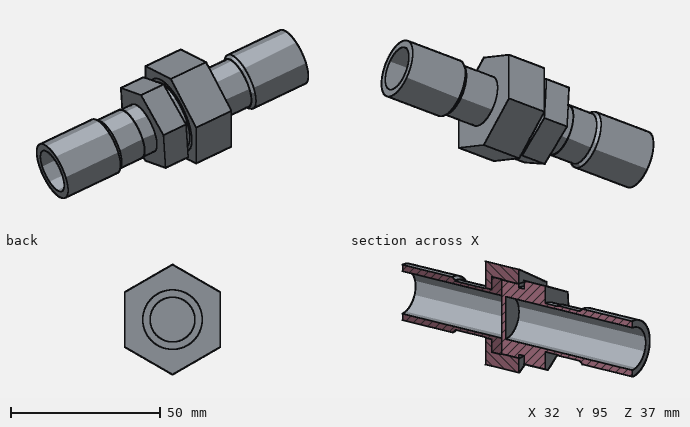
import cadquery as cq
import math

LENGTH = 95.0
FRONT_END = -LENGTH / 2
BACK_END = LENGTH / 2

SLEEVE_DIAMETER = 19.95
SLEEVE_LENGTH = 20.7
CHAMFER_LENGTH = 1.1
SHOULDER_DIAMETER = 18.0
ADAPTER_NECK_DIAMETER = 17.5
TAILPIECE_NECK_DIAMETER = 17.6
BORE_DIAMETER = 15.0

SHOULDER_END = -16.5
ADAPTER_HEX_START = -11.6
ADAPTER_HEX_LENGTH = 8.9
ADAPTER_HEX_FLATS = 27.1
ADAPTER_HEX_TURN = 5.0
COLLAR_DIAMETER = 24.0
WALL_THICKNESS = 1.9

NUT_START = -0.7
NUT_LENGTH = 14.0
NUT_FLATS = 32.0
NUT_LIP = 2.85
NUT_BORE_DIAMETER = 26.7

FLANGE_LENGTH = 3.8

ADAPTER_HEX_END = ADAPTER_HEX_START + ADAPTER_HEX_LENGTH
NUT_END = NUT_START + NUT_LENGTH
FLANGE_END = NUT_END - NUT_LIP
SPIGOT_END = FLANGE_END - FLANGE_LENGTH


def rod(diameter, start, end):
    """Round bar on the Y axis from start to end."""
    plane = cq.Plane(origin=(0, start, 0), xDir=(1, 0, 0), normal=(0, 1, 0))
    return cq.Workplane(plane).circle(diameter / 2).extrude(end - start)


def hex_bar(flats, start, length, turn=0.0):
    """Hexagonal bar on the Y axis, with a corner on +Z before it is turned."""
    plane = cq.Plane(origin=(0, start, 0), xDir=(0, 0, 1), normal=(0, 1, 0))
    corner_diameter = flats / math.cos(math.pi / 6)
    bar = cq.Workplane(plane).polygon(6, corner_diameter).extrude(length)
    return bar.rotate((0, 0, 0), (0, 1, 0), -turn)


def sleeve(end):
    """Pipe sleeve at one end of the fitting, chamfered where it meets the neck."""
    inward = -math.copysign(1, end)
    inner = end + inward * SLEEVE_LENGTH
    chamfer_end = inner + inward * CHAMFER_LENGTH
    profile = [
        (0, end),
        (SLEEVE_DIAMETER / 2, end),
        (SLEEVE_DIAMETER / 2, inner),
        (SHOULDER_DIAMETER / 2, chamfer_end),
        (0, chamfer_end),
    ]
    return cq.Workplane("XY").polyline(profile).close().revolve(360, (0, 0, 0), (0, 1, 0))


def make_adapter():
    shoulder_start = FRONT_END + SLEEVE_LENGTH + CHAMFER_LENGTH
    body = sleeve(FRONT_END)
    body = body.union(rod(SHOULDER_DIAMETER, shoulder_start, SHOULDER_END))
    body = body.union(rod(ADAPTER_NECK_DIAMETER, SHOULDER_END, ADAPTER_HEX_START))
    body = body.union(hex_bar(ADAPTER_HEX_FLATS, ADAPTER_HEX_START, ADAPTER_HEX_LENGTH, ADAPTER_HEX_TURN))
    body = body.union(rod(COLLAR_DIAMETER, ADAPTER_HEX_END, NUT_START))
    body = body.union(rod(NUT_BORE_DIAMETER, NUT_START, SPIGOT_END))
    return body.cut(rod(BORE_DIAMETER, FRONT_END, SPIGOT_END - WALL_THICKNESS))


def make_nut():
    body = hex_bar(NUT_FLATS, NUT_START, NUT_LENGTH)
    body = body.cut(rod(NUT_BORE_DIAMETER, NUT_START, FLANGE_END))
    return body.cut(rod(TAILPIECE_NECK_DIAMETER, FLANGE_END, NUT_END))


def make_tailpiece():
    neck_end = BACK_END - SLEEVE_LENGTH - CHAMFER_LENGTH
    body = rod(NUT_BORE_DIAMETER, SPIGOT_END, FLANGE_END)
    body = body.union(rod(TAILPIECE_NECK_DIAMETER, FLANGE_END, neck_end))
    body = body.union(sleeve(BACK_END))
    return body.cut(rod(BORE_DIAMETER, SPIGOT_END, BACK_END))


adapter = make_adapter()
nut = make_nut()
tailpiece = make_tailpiece()

result = cq.Compound.makeCompound([adapter.val(), nut.val(), tailpiece.val()])